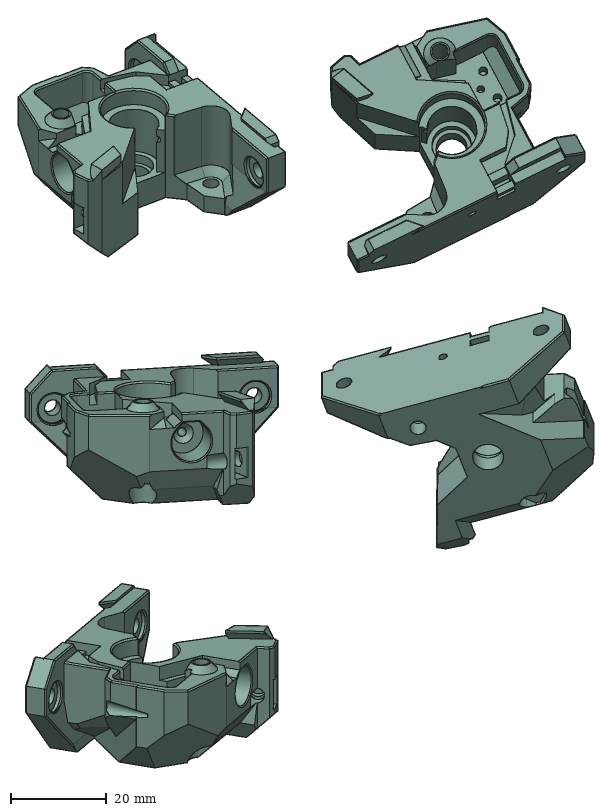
import cadquery as cq
import math

TOP = 21.05
RIDGE_TOP = 23.2
FRONT = -38.25
LIP_FRONT = -41.35
EDGE_CHAMFER = 0.3
REACH = 107.2

FLANGE_HALF = 26.8
FLANGE_FRONT = -4.75
FLANGE_FOOT = -6.55
FLANGE_BEND = 12.15
FLANGE_FOOT_TOP = 2.5
LEFT_RIDGE_X = (-22.1, -12.2)
RIDGE_STEP_Y = -2.15
UNDERCUT_TOP = 22.65

SCREW_D = 3.4
FLANGE_SCREW = (21.7, 14.75)
FLANGE_HEAD_D = 6.5
FLANGE_HEAD_DEPTH = 1.05
FLANGE_HEAD_RIM = 0.3

BORE = (-4.3, -17.5)
BORE_STEPS = ((13.95, 17.15), (10.5, 6.45), (8.25, 4.3))
BORE_THROUGH_D = 6.5
BORE_RIM = 0.4
SIDE_X = 1.45

FRONT_HOLE = (-0.1, 14.7)
FRONT_HOLE_D = 8.45
FRONT_RIM_D = 9.0
FRONT_SHELL_D = 9.95
FRONT_HOLE_END = -30.8
FRONT_SINK_D = 4.3
FRONT_HOLE_THROUGH_D = 1.8
FRONT_HOLE_FLAT = 4.3

COLLAR = (-9.2, -32.55)
COLLAR_BASE_D = 6.85
COLLAR_TOP_D = 4.05
COLLAR_TOP = 22.6
COLLAR_HEAD_D = 5.8
COLLAR_HEAD_TOP = 6.45
COLLAR_HEAD_FLAT = 3.6

SHELF_TOP = 4.05
SHELF_WALL_FOOT = 6.0
SHELF_HOLE = (7.3, -5.85)
SHELF_WALL_R = 3.95
LOW_STEP = 10.7

BOX_X = (-21.4, -11.6)
BOX_Y = (-31.5, -17.4)
BOX_FLOOR = 10.7
BOX_RAMP_X = -18.8
BOX_CORNER_R = 1.6
CHANNEL_FLOOR = 18.5
LEDGE_FLOOR = 17.95
LEDGE_X = (-5.6, -2.25)


def prism(points, bottom, top):
    """Vertical prism over an XY outline."""
    return cq.Workplane("XY").workplane(offset=bottom).polyline(points).close().extrude(top - bottom)


def block(x_range, y_range, z_range):
    size = [abs(r[1] - r[0]) for r in (x_range, y_range, z_range)]
    corner = [min(r) for r in (x_range, y_range, z_range)]
    return cq.Workplane("XY").box(*size, centered=False).translate(tuple(corner))


def round_z(center, diameter, bottom, top):
    return cq.Workplane("XY").workplane(offset=bottom).center(*center).circle(diameter / 2).extrude(top - bottom)


def round_y(center, diameter, front, back):
    """Cylinder along Y at an (x, z) centre, between two y values."""
    plane = cq.Workplane("XZ", origin=(0, back, 0))
    return plane.center(*center).circle(diameter / 2).extrude(back - front)


def flat_sided_round(workplane, diameter, flat):
    """Circle whose +Y side is drawn out by two 45 degree flanks to a flat at a given distance."""
    radius = diameter / 2
    tangent = radius / math.sqrt(2)
    flat_half = 2 * tangent - flat
    return (
        workplane.moveTo(-tangent, tangent).lineTo(-flat_half, flat).lineTo(flat_half, flat)
        .lineTo(tangent, tangent).threePointArc((0, -radius), (-tangent, tangent)).close()
    )


def half_space(point, normal):
    """Large block lying on the side of a plane that its normal points to."""
    return cq.Workplane(cq.Plane(origin=point, normal=normal)).rect(2 * REACH, 2 * REACH).extrude(REACH)


def plane_normal(a, b, c):
    ab, ac = cq.Vector(*b) - cq.Vector(*a), cq.Vector(*c) - cq.Vector(*a)
    return ab.cross(ac)


def below_points(a, b, c):
    """Space underneath the plane through three points."""
    normal = plane_normal(a, b, c)
    if normal.z > 0:
        normal = normal * -1
    return half_space(a, normal.toTuple())


outline = [
    (-17.4, 0), (-17.4, -15.0), (-21.55, -16.0), (-23.2, -18.0), (-23.2, -23.95),
    (-23.45, -23.95), (-23.45, -30.35), (-21.6, -35.05), (-9.15, FRONT), (6.75, FRONT),
    (7.5, -40.75), (8.8, LIP_FRONT), (12.5, -40.4), (13.6, -37.6), (9.55, -25.85),
    (SIDE_X, -21.05), (SIDE_X, -13.35), (4.65, -10.15), (10.3, -9.65), (13.6, -6.65), (13.6, 0),
]
body = prism(outline, 0, TOP).faces(">Z").edges().chamfer(EDGE_CHAMFER)


def trim_underside(solid):
    solid = solid.cut(half_space((-16.15, 0, 0), (-1, 0, -1)))
    solid = solid.cut(below_points((-21.6, -35.05, 13.5), (-12.05, -37.5, 7.9), (-23.45, -30.35, 10.8)))
    front_slopes = [(FRONT, 8.8), (-35.05, 4.05), (-30.8, 0), (LIP_FRONT, 0), (LIP_FRONT, 8.8)]
    under_front = cq.Workplane("YZ", origin=(-16.1, 0, 0)).polyline(front_slopes).close().extrude(23.6)
    lip_flank = half_space((6.75, 0, 8.8), (-1, 0, 0.3))
    lip_foot = half_space((7.3, 0, 0), (-2, 0, -1)).intersect(block((0, 7.5), (-48.25, -26.8), (-0.55, 4.05)))
    solid = solid.cut(under_front.intersect(lip_flank)).cut(under_front.intersect(lip_foot))
    lip_slope = half_space((0, -35.55, 0), (0, -1, -1))
    solid = solid.cut(lip_slope.intersect(block((0, 21.45), (-48.25, -26.8), (-0.55, 10.7))))
    hollow_zone = half_space((0.65, 0, 0), (-1, 1, 0)).intersect(block((-32.15, 0), (-23.95, 0), (-0.55, TOP)))
    steep = below_points((-17.4, -14.9, 11.05), (-17.4, -5.9, 6.7), (-13.0, -13.65, 6.15))
    shallow = below_points((-16.9, -5.9, 6.15), (-13.0, -13.65, 6.15), (-6.55, -7.2, 0.85))
    under_box = half_space((-9.8, 0, 0), (-1, 0, -1))
    for slope in (under_box, steep, shallow):
        y_start = -23.95 if slope is under_box else -15.55
        zone = hollow_zone.intersect(block((-32.15, 0), (y_start, 0), (-0.55, TOP)))
        solid = solid.cut(slope.intersect(zone))
    return solid


body = trim_underside(body)

flange_section = [
    (0, 0), (0, RIDGE_TOP), (FLANGE_FRONT, RIDGE_TOP), (FLANGE_FRONT, FLANGE_BEND),
    (FLANGE_FOOT, FLANGE_FOOT_TOP), (FLANGE_FOOT, 0),
]
flange_face = [
    (-14.65, 0), (-FLANGE_HALF, FLANGE_BEND), (-FLANGE_HALF, 18.35), (LEFT_RIDGE_X[0], RIDGE_TOP),
    (LEFT_RIDGE_X[1], RIDGE_TOP), (-10.25, TOP), (FLANGE_HALF, TOP), (FLANGE_HALF, FLANGE_BEND), (14.1, 0),
]
flange = cq.Workplane("YZ", origin=(-FLANGE_HALF, 0, 0)).polyline(flange_section).close().extrude(2 * FLANGE_HALF)
flange = flange.intersect(cq.Workplane("XZ").polyline(flange_face).close().extrude(10.7))
flange = flange.faces(">Y").edges().chamfer(EDGE_CHAMFER)
flange_front = flange.faces(cq.selectors.NearestToPointSelector((0, FLANGE_FRONT, 16.1)))
flange_taper = flange.faces(cq.selectors.NearestToPointSelector((0, -5.65, 7.35)))
flange = flange_front.edges("not <Z").add(flange_taper.edges("<X or >X")).chamfer(EDGE_CHAMFER)
flange = flange.cut(block((LEFT_RIDGE_X[0], -5.9), (RIDGE_STEP_Y, 0.55), (TOP, RIDGE_TOP + 0.55)))

right_ridge = prism([(11.3, 0), (13.9, -2.75), (24.1, -2.75), (24.1, 0)], TOP - 0.55, RIDGE_TOP)
right_ridge = right_ridge.edges(">X and >Z").chamfer(1.2)
right_ridge = right_ridge.cut(half_space((0, -2.75, UNDERCUT_TOP), (0, -1, -1)))
right_ridge = right_ridge.cut(half_space((13.9, -2.75, UNDERCUT_TOP), (-5.1, -4.8, -7.0)))
lip_ridge = prism([(7.55, -30.6), (11.1, -31.15), (13.6, -37.6), (12.5, -40.4), (10.45, -38.15)], TOP - 0.55, RIDGE_TOP)
lip_ridge = lip_ridge.cut(half_space((7.55, -30.6, UNDERCUT_TOP), (-14.1, -5.4, -10.0)))
lip_ridge = lip_ridge.cut(half_space((10.45, -38.15, RIDGE_TOP), (0.2, -1, 0.7)))
collar = (
    cq.Workplane("XY", origin=(*COLLAR, TOP - 1.05)).circle(COLLAR_BASE_D / 2).extrude(1.05)
    .faces(">Z").workplane().circle(COLLAR_BASE_D / 2)
    .workplane(offset=COLLAR_TOP - TOP).circle(COLLAR_TOP_D / 2).loft(combine=True)
)


def cut_shelf(solid):
    cx, cy = SHELF_HOLE

    def pocket_outline(level):
        return (
            cq.Workplane("XY", origin=(0, 0, level))
            .moveTo(2.75, -11.85).lineTo(cx - SHELF_WALL_R, cy + 0.25)
            .threePointArc((cx - 0.25, cy + SHELF_WALL_R), (cx + 1.7, cy + 3.65))
            .lineTo(15.6, -5.85).lineTo(21.45, -9.05).lineTo(21.45, -16.1).lineTo(2.75, -16.1).close()
        )

    solid = solid.cut(pocket_outline(SHELF_WALL_FOOT).extrude(TOP - SHELF_WALL_FOOT))
    solid = solid.cut(pocket_outline(SHELF_WALL_FOOT).extrude(SHELF_TOP - SHELF_WALL_FOOT, taper=40))
    solid = solid.cut(round_z(SHELF_HOLE, SCREW_D, -0.55, TOP))
    low_corner = prism([(SIDE_X, -21.05), (11.15, -30.8), (16.1, -30.8), (16.1, -21.05)], LOW_STEP, TOP)
    return solid.cut(low_corner)


def cut_bore(solid):
    for diameter, floor in BORE_STEPS:
        solid = solid.cut(round_z(BORE, diameter, floor, TOP + 0.55))
    rim_r = BORE_STEPS[0][0] / 2
    rim = cq.Workplane("XY", origin=(*BORE, TOP)).circle(rim_r + BORE_RIM).extrude(-BORE_RIM, taper=45)
    solid = solid.cut(rim).cut(round_z(BORE, BORE_THROUGH_D, -0.55, TOP))
    window = [(-0.1, -15.2), (SIDE_X + 0.55, -12.85), (SIDE_X + 0.55, -22.2), (-0.1, -19.85)]
    return solid.cut(prism(window, BORE_STEPS[1][1], TOP + 0.55).cut(block((-0.55, 4.8), (-32.15, -21.05), (0, TOP + 0.55))))


def cut_box(solid):
    box = block(BOX_X, BOX_Y, (BOX_FLOOR, TOP + 0.55)).edges("|Z and <X").fillet(BOX_CORNER_R)
    ramp = half_space((BOX_RAMP_X, 0, BOX_FLOOR), (-1, 0, -1))
    solid = solid.cut(box.cut(ramp))
    mouth = block(
        (BOX_X[0] - EDGE_CHAMFER, BOX_X[1]),
        (BOX_Y[0] - EDGE_CHAMFER, BOX_Y[1] + EDGE_CHAMFER),
        (TOP - EDGE_CHAMFER, TOP),
    )
    mouth = mouth.edges("|Z and <X").fillet(BOX_CORNER_R + EDGE_CHAMFER)
    solid = solid.cut(mouth.faces("<Z").edges("not >X").chamfer(EDGE_CHAMFER - 0.005))
    wedge = [
        (BOX_X[1] - 0.55, -25.7), (BOX_X[1], -25.7), (LEDGE_X[0], -29.0), (LEDGE_X[0], -31.25),
        (-7.5, -30.85), (BOX_X[1], -29.9), (BOX_X[1] - 0.55, -29.9),
    ]
    solid = solid.cut(prism(wedge, BOX_FLOOR, TOP + 2.15))
    for center, diameter in (((-16.95, -21.15), 1.8), ((-16.95, -27.75), 1.8), ((-14.7, -24.5), 1.5)):
        solid = solid.cut(round_z(center, diameter, BOX_FLOOR - 3.2, BOX_FLOOR + 0.55))
    return solid


def cut_ledge(solid):
    ledge = [
        (BOX_X[1], -24.05), (LEDGE_X[1], -29.7), (LEDGE_X[1], FRONT - 0.55), (LEDGE_X[0], FRONT - 0.55),
        (LEDGE_X[0], -29.0), (BOX_X[1], -25.7),
    ]
    shell = round_y(FRONT_HOLE, FRONT_SHELL_D, FRONT - 0.55, FRONT_HOLE_END)
    solid = solid.cut(prism(ledge, LEDGE_FLOOR, TOP + 0.55).cut(shell))
    notch = prism(
        [(-9.15, FRONT), (LEDGE_X[0], -36.2), (LEDGE_X[0], FRONT - 0.55), (-9.15, FRONT - 0.55)], LEDGE_FLOOR, TOP + 0.55
    )
    floor = below_points((-9.15, FRONT, LEDGE_FLOOR), (LEDGE_X[0], FRONT, LEDGE_FLOOR), (LEDGE_X[0], -36.2, 19.8))
    return solid.cut(notch.cut(floor))


def cut_cable_channel(solid):
    channel = [
        (-10.25, FLANGE_FRONT), (-6.05, FLANGE_FRONT), (-6.05, -8.1), (-12.2, -8.1), (-14.3, -11.1),
        (-15.5, BOX_Y[1] - 0.55), (-17.15, BOX_Y[1] - 0.55), (-15.15, -9.7),
    ]
    solid = solid.cut(prism(channel, CHANNEL_FLOOR, TOP + 0.55))
    tie_x = (-10.25, -6.05)
    bar_top = 19.3
    solid = solid.cut(block(tie_x, (FLANGE_FRONT, 0.55), (bar_top, RIDGE_TOP + 0.55)))
    solid = solid.cut(block(tie_x, (-3.05, -1.5), (16.1, bar_top)))
    return solid.cut(block(tie_x, (-3.05, 0.55), (16.1, 17.95)))


def cut_front_hole(solid):
    x, z = FRONT_HOLE
    rim = (FRONT_RIM_D - FRONT_HOLE_D) / 2
    inner_end = cq.Workplane("XZ", origin=(x, FRONT_HOLE_END, z))
    hole = flat_sided_round(inner_end, FRONT_HOLE_D, FRONT_HOLE_FLAT).extrude(FRONT_HOLE_END - FRONT)
    mouth = cq.Workplane("XZ", origin=(x, FRONT, z))
    solid = solid.cut(hole)
    solid = solid.cut(flat_sided_round(mouth, FRONT_RIM_D, FRONT_HOLE_FLAT + rim).extrude(-rim, taper=45))
    sink_depth = (FRONT_SINK_D - FRONT_HOLE_THROUGH_D) / 2
    sink = inner_end.circle(FRONT_SINK_D / 2).extrude(-sink_depth, taper=44)
    return solid.cut(sink).cut(round_y(FRONT_HOLE, FRONT_HOLE_THROUGH_D, FRONT, 0.55))


def cut_collar_screw(solid):
    solid = solid.cut(round_z(COLLAR, SCREW_D, -0.55, COLLAR_TOP + 0.55))
    from_below = cq.Workplane("XY", origin=(*COLLAR, 0)).transformed(rotate=(0, 0, 180))
    return solid.cut(flat_sided_round(from_below, COLLAR_HEAD_D, COLLAR_HEAD_FLAT).extrude(COLLAR_HEAD_TOP))


def cut_flange_screws(solid):
    x, z = FLANGE_SCREW
    for center in ((-x, z), (x, z)):
        solid = solid.cut(round_y(center, SCREW_D, -10.7, 0.55))
        solid = solid.cut(round_y(center, FLANGE_HEAD_D, -10.7, FLANGE_FRONT + FLANGE_HEAD_DEPTH))
        rim = cq.Workplane("XZ", origin=(0, FLANGE_FRONT, 0)).center(*center)
        solid = solid.cut(rim.circle(FLANGE_HEAD_D / 2 + FLANGE_HEAD_RIM).extrude(-FLANGE_HEAD_RIM, taper=45))
    return solid


def cut_lip(solid):
    slot = [(8.5, -41.8), (11.7, -41.8), (11.2, -40.1), (9.05, -33.85), (8.5, -34.85)]
    solid = solid.cut(prism(slot, 6.9, 13.5))
    hole_plane = cq.Plane(origin=(3.5, -39.2, 10.15), xDir=(0, 0, 1), normal=(0.945, 0.326, 0))
    return solid.cut(cq.Workplane(hole_plane).circle(SCREW_D / 2).extrude(8.6))


def cut_side_scoop(solid):
    scoop = cq.Solid.makeCone(1.75, 0.45, 10.2, pnt=cq.Vector(-23.3, -16.4, 14.75), dir=cq.Vector(-0.03, -1, 0))
    return solid.cut(cq.Workplane(scoop))


result = body.union(flange)
result = cut_shelf(result)
result = result.union(right_ridge).union(lip_ridge).union(collar)
for cut in (
    cut_bore, cut_box, cut_ledge, cut_cable_channel, cut_front_hole,
    cut_collar_screw, cut_flange_screws, cut_lip, cut_side_scoop,
):
    result = cut(result)